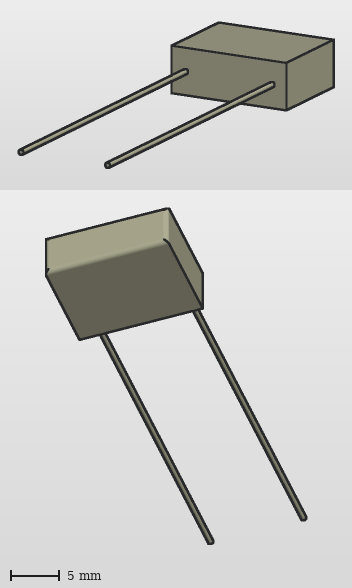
import cadquery as cq


case_width = 13.5
case_length = 10.5
case_height = 5.1
back_edge_radius = 0.5

overall_length = 45.5
lead_length = overall_length - case_length
lead_diameter = 0.6
lead_pitch = 10.2


def make_case():
    """Solid block with rounded edges around its back face; the leads butt against its front face."""
    block = cq.Workplane("XY").box(case_width, case_length, case_height, centered=(True, False, True))
    return block.faces(">Y").edges().fillet(back_edge_radius)


def make_lead(x):
    """Straight round wire running from the case's front face toward -Y."""
    return cq.Workplane("XZ").center(x, 0).circle(lead_diameter / 2).extrude(lead_length)


case = make_case()
leads = []
for side in (-1, 1):
    leads.append(make_lead(side * lead_pitch / 2))

result = cq.Compound.makeCompound([case.val(), *[lead.val() for lead in leads]])